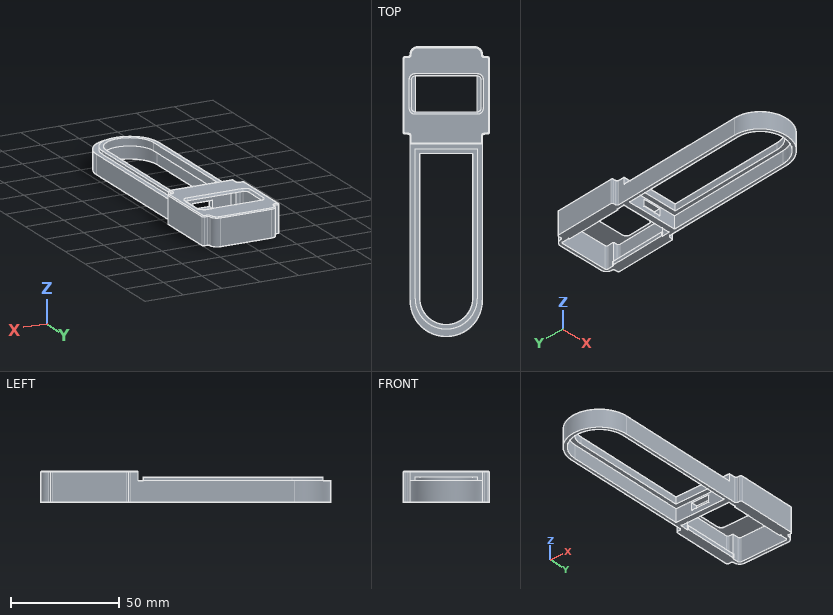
import cadquery as cq

total_length = 134.1
head_width = 40.0
head_height = 14.6
handle_width = 33.5
handle_height = 10.0
wall = 2.0

handle_radius = handle_width / 2
head_back = total_length - handle_radius
head_front = 72.3

wide_front = 76.8
wide_back = 112.8
notch_fillet = 1.0
cavity_back_fillet = 1.0
back_corner_fillet = 3.5
top_chamfer = 0.5

lip_half_width = 14.3
lip_width = 2.1
lip_center_y = 1.1
lip_back = 70.0
lip_top = 11.7
lip_underside = 7.6
pocket_back = 70.8

window_length = 34.3
window_width = 18.8
window_center_y = 95.5
window_fillet = 2.8
roof_thickness = 1.1
ledge_height = 2.1
ledge_half_gap = 14.2

slot_width = 10.2
slot_bottom = 2.7
slot_top = 6.7


def rounded_end_prism(half_width, center_y, back, bottom, top):
    """Prism with a square back and a semicircular front."""
    return (
        cq.Workplane("XY", origin=(0, 0, bottom))
        .moveTo(-half_width, back)
        .lineTo(-half_width, center_y)
        .threePointArc((0, center_y - half_width), (half_width, center_y))
        .lineTo(half_width, back)
        .close()
        .extrude(top - bottom)
    )


def box_between(width, front, back, bottom, top):
    """Box centred on X, spanning the given Y and Z limits."""
    return cq.Workplane("XY").box(width, back - front, top - bottom, centered=(True, False, False)).translate(
        (0, front, bottom)
    )


def stepped_prism(inset, front, top):
    """Sharp-cornered head outline moved inward by inset, standing on Z = 0."""
    narrow = box_between(handle_width - 2 * inset, front, head_back - inset, 0, top)
    wide = box_between(head_width - 2 * inset, wide_front + inset, wide_back - inset, 0, top)
    return narrow.union(wide)


def make_head():
    notch_edges = cq.selectors.BoxSelector(
        (-head_width, wide_front - notch_fillet, 0), (head_width, wide_back + notch_fillet, head_height)
    )
    head = stepped_prism(0, head_front, head_height)
    head = head.edges("|Z").edges(notch_edges).fillet(notch_fillet)
    head = head.faces(">Y").edges("|Z").fillet(back_corner_fillet)
    return head.faces(">Z").edges().chamfer(top_chamfer)


def make_cavity():
    """Hollow of the head, leaving a ledge along each side of the wide middle."""
    cavity_front = head_front + wall
    cavity = stepped_prism(wall, cavity_front, head_height - roof_thickness)
    cavity = cavity.edges("|Z").edges("<X or >X").fillet(notch_fillet)
    cavity = cavity.faces(">Y").edges("|Z").fillet(cavity_back_fillet)
    middle = box_between(head_width, wide_front + wall, wide_back - wall, 0, ledge_height)
    gap = box_between(2 * ledge_half_gap, cavity_front, head_back, 0, ledge_height)
    return cavity.cut(middle.cut(gap))


def make_window():
    """Opening through the roof, tapering inward at 45 degrees over the roof thickness."""
    outline = cq.Sketch().rect(window_length, window_width).vertices().fillet(window_fillet)
    return (
        cq.Workplane("XY", origin=(0, window_center_y, head_height))
        .placeSketch(outline)
        .extrude(-roof_thickness, taper=45)
    )


handle = rounded_end_prism(handle_radius, 0, head_front + wall, 0, handle_height)
lip = rounded_end_prism(lip_half_width, lip_center_y, lip_back, 0, lip_top)
opening = rounded_end_prism(lip_half_width - lip_width, lip_center_y, lip_back - lip_width, 0, lip_top)
pocket = rounded_end_prism(handle_radius - wall, 0, pocket_back, 0, lip_underside)
slot = box_between(slot_width, lip_back, head_front + 2 * wall, slot_bottom, slot_top)

result = make_head().union(handle).union(lip)
for hollow in (opening, pocket, make_cavity(), make_window(), slot):
    result = result.cut(hollow)